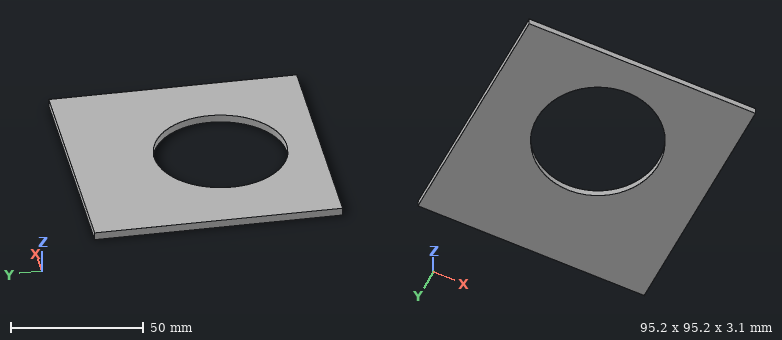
import cadquery as cq

plate_side = 95.25
plate_thickness = 3.1

hole_diameter = 50.8
hole_offset_y = -9.5

plate = cq.Workplane("XY").box(plate_side, plate_side, plate_thickness)

result = (
    plate.faces(">Z")
    .workplane(origin=(0, 0, 0))
    .center(0, hole_offset_y)
    .hole(hole_diameter)
)